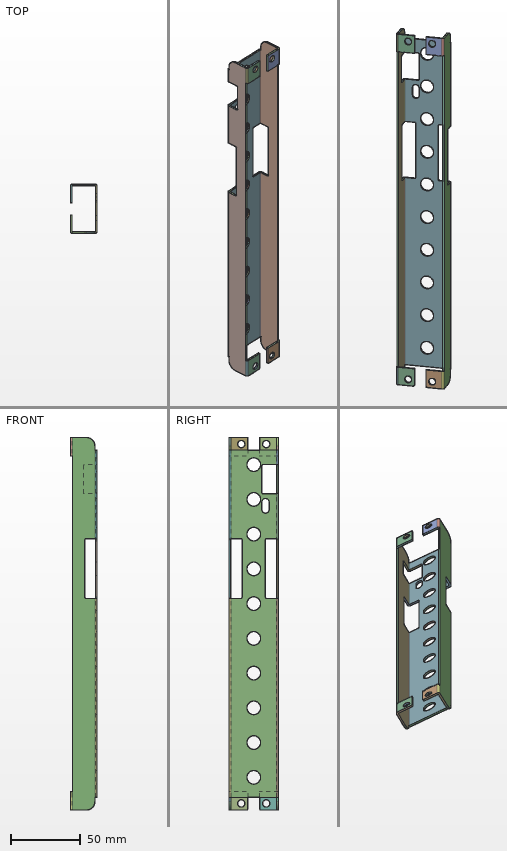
import cadquery as cq

length = 268.2
width = 35.7
sheet = 1.4
inside_depth = 16.5
depth = inside_depth + 2 * sheet
bend_radius = 1.5

web_inset = 9.0
wall_corner_radius = 6.2
lip_height = 13.5
lip_gap = 8.5
lip_corner_radius = 1.0
lip_hole_diameter = 5.0
lip_hole_spacing = 18.0
lip_hole_inset = 4.8

hole_count = 10
hole_pitch = (length - 2 * web_inset) / hole_count
hole_diameter = 9.7
hole_row_rise = 2.0

window_height = 43.0
window_top_inset = 73.0
window_wall_depth = 8.9
window_web_spacing = 17.0
window_corner_radius = 0.8

port_height = 21.0
port_top_inset = 19.5
port_wall_depth = 10.0
port_web_edge = 6.0
slot_length = 10.5
slot_width = 5.0
slot_y = port_web_edge + slot_width / 2
slot_top_inset = 44.0

top = length / 2
wall_outer = width / 2
web_outer = depth / 2
lip_outer = -depth / 2
web_bend_start = web_outer - bend_radius
lip_bend_end = lip_outer + bend_radius


def block(x_range, y_range, z_range):
    """Axis-aligned box spanning the given ranges."""
    sizes = [high - low for low, high in (x_range, y_range, z_range)]
    corner = (x_range[0], y_range[0], z_range[0])
    return cq.Workplane("XY").box(*sizes, centered=False).translate(corner)


def channel():
    """Full-length C-section with rounded bends and a gap between the lips."""
    outer = cq.Workplane("XY").rect(depth, width).extrude(length).edges("|Z").fillet(bend_radius)
    inner = (
        cq.Workplane("XY")
        .rect(inside_depth, width - 2 * sheet)
        .extrude(length)
        .edges("|Z")
        .fillet(bend_radius - sheet)
    )
    tube = outer.cut(inner).translate((0, 0, -top))
    gap = block((lip_outer, 0), (-lip_gap / 2, lip_gap / 2), (-top, top))
    return tube.cut(gap)


def side_profile():
    """Channel outline across XZ: rounded walls, a shorter web and lips only at the ends."""
    walls = (
        cq.Workplane("XZ")
        .rect(web_bend_start - lip_outer, length)
        .extrude(wall_outer, both=True)
        .translate((-bend_radius / 2, 0, 0))
        .edges("|Y and >X")
        .fillet(wall_corner_radius)
    )
    web_end = top - web_inset
    web = block((0, web_outer), (-wall_outer, wall_outer), (-web_end, web_end))
    lip_end = top - lip_height
    between_lips = block((lip_outer, lip_bend_end), (-wall_outer, wall_outer), (-lip_end, lip_end))
    return walls.union(web).cut(between_lips)


def lip_holes():
    """One through-hole in each mounting lip."""
    return (
        cq.Workplane("YZ")
        .workplane(offset=lip_outer)
        .rect(lip_hole_spacing, length - 2 * lip_hole_inset, forConstruction=True)
        .vertices()
        .circle(lip_hole_diameter / 2)
        .extrude(bend_radius)
    )


def web_holes():
    """Evenly spaced row of holes along the middle of the web."""
    return (
        cq.Workplane("YZ")
        .center(0, hole_row_rise)
        .rarray(2.7, hole_pitch, 1, hole_count)
        .circle(hole_diameter / 2)
        .extrude(web_outer)
    )


def web_slot():
    """Vertical slot through the web."""
    return (
        cq.Workplane("YZ")
        .center(slot_y, top - slot_top_inset - slot_length / 2)
        .slot2D(slot_length, slot_width, angle=90)
        .extrude(web_outer)
    )


def corner_window(side, web_edge, wall_depth, top_inset, height):
    """Opening across the bend at one wall (side = +1 or -1 in Y), rounded in web and wall."""
    z_range = (top - top_inset - height, top - top_inset)
    y_range = sorted((side * web_edge, side * wall_outer))
    web_part = block((web_bend_start, web_outer), y_range, z_range)
    web_inner_edge = "<Y" if side > 0 else ">Y"
    web_part = web_part.edges("|X").edges(web_inner_edge).fillet(window_corner_radius)
    wall_y = sorted((side * (wall_outer - bend_radius), side * wall_outer))
    wall_part = block((web_outer - wall_depth, web_outer), wall_y, z_range)
    wall_part = wall_part.edges("|Y and <X").fillet(window_corner_radius)
    return web_part.union(wall_part)


result = channel().intersect(side_profile())

for side in (-1, 1):
    lip_corner = cq.selectors.NearestToPointSelector((lip_outer + sheet / 2, side * lip_gap / 2, -top))
    result = result.edges("|X").edges(lip_corner).fillet(lip_corner_radius)

result = result.cut(lip_holes()).cut(web_holes()).cut(web_slot())
for side in (-1, 1):
    window = corner_window(
        side, window_web_spacing / 2, window_wall_depth, window_top_inset, window_height
    )
    result = result.cut(window)
result = result.cut(corner_window(1, port_web_edge, port_wall_depth, port_top_inset, port_height))